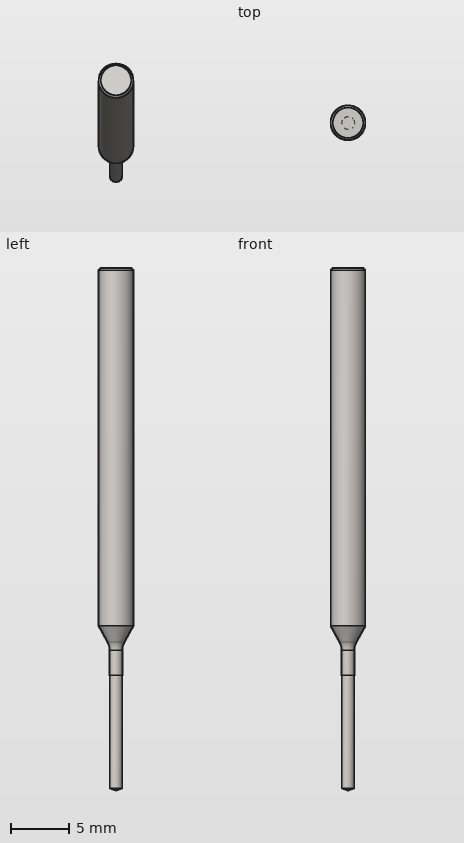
import cadquery as cq
import math

total_length = 45.0
shoulder_height = 14.18
neck_height = 12.1
cutter_height = 9.95
tip_height = 0.202

shank_diameter = 3.0
neck_diameter = 1.12
cutter_diameter = 1.1

chamfer = 0.202
cone_angle = math.radians(30)
blend_radius = 1.4

shank_radius = shank_diameter / 2
neck_radius = neck_diameter / 2
cutter_radius = cutter_diameter / 2


def blend_point(angle):
    """Point of the blend arc where its slope to the tool axis is the given angle."""
    radius = neck_radius + blend_radius * (1 - math.cos(angle))
    height = neck_height + blend_radius * math.sin(angle)
    return radius, height


def make_shank():
    """Chamfered shank with a conical shoulder that blends down to the neck."""
    profile = (
        cq.Workplane("XZ")
        .moveTo(0, neck_height)
        .lineTo(neck_radius, neck_height)
        .threePointArc(blend_point(cone_angle / 2), blend_point(cone_angle))
        .lineTo(shank_radius, shoulder_height)
        .lineTo(shank_radius, total_length - chamfer)
        .lineTo(shank_radius - chamfer, total_length)
        .lineTo(0, total_length)
        .close()
    )
    return profile.revolve(360, (0, 0, 0), (0, 1, 0))


def make_neck():
    """Plain cylinder, slightly wider than the cutter, between it and the shank."""
    return (
        cq.Workplane("XY", origin=(0, 0, cutter_height))
        .circle(neck_radius)
        .extrude(neck_height - cutter_height)
    )


def make_cutter():
    """Cylindrical cutter with a shallow conical point."""
    profile = (
        cq.Workplane("XZ")
        .lineTo(cutter_radius, tip_height)
        .lineTo(cutter_radius, cutter_height)
        .lineTo(0, cutter_height)
        .close()
    )
    return profile.revolve(360, (0, 0, 0), (0, 1, 0))


shank = make_shank()
neck = make_neck()
cutter = make_cutter()

result = cq.Compound.makeCompound([shank.val(), neck.val(), cutter.val()])